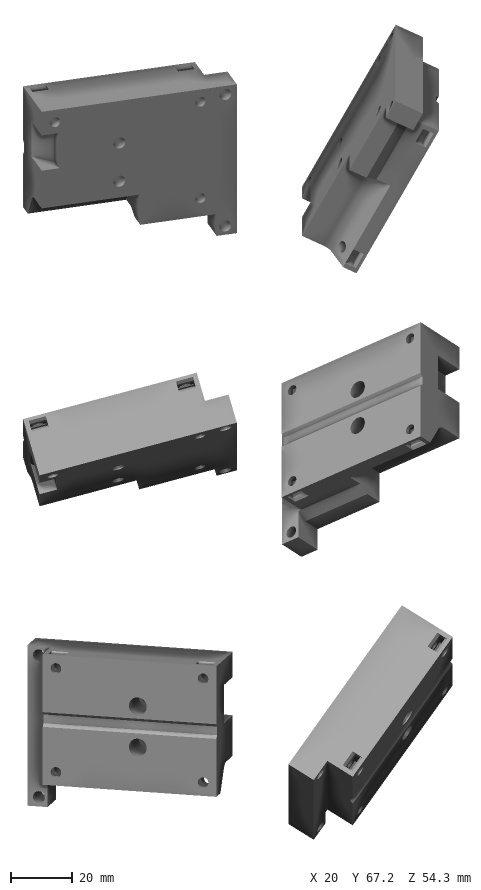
import cadquery as cq
import math

thickness = 20.0
length = 67.15
height = 54.3

block_length = 59.1
block_height = 44.2
flange_thickness = 10.0
leg_width = 6.9
block_bottom = height - block_height
block_middle = height - block_height / 2
flange_face = thickness - flange_thickness
leg_start = length - leg_width

rib_start = 33.9
rib_drop = 2.15
rib_slope = 30

relief_rise = 8.9
relief_foot = 5.0
relief_slope = 60
relief_radius = 3.35

groove_depth = 1.0
groove_mouth = 5.0

slot_height = 12.9
slot_top_gap = 8.6
slot_depth = 6.0
slot_mouth_start = 9.05

corner_hole_diameter = 3.55
corner_inset = 4.5
trap_length = 5.8
trap_thickness = 2.1
trap_mouth_thickness = 3.9
trap_middle = 3.0
trap_past_hole = trap_length / 2
step_depth = 0.4

bore_y = 26.7
bore_spacing = 14.0
bore_middle = 31.95
bore_diameter = 4
counterbore_diameter = 6.05
counterbore_depth = 12.0

flange_hole_diameter = 4
flange_hole_inset_y = 3.95
flange_hole_inset_z = 3.15


def box(x_range, y_range, z_range):
    """Box between the given limits along each axis."""
    corners = list(zip(x_range, y_range, z_range))
    sizes = [high - low for low, high in zip(*corners)]
    return cq.Workplane("XY").box(*sizes, centered=False).translate(corners[0])


def extrude_along_y(outline, y_start, y_end):
    """Extrude an XZ outline from y_start to y_end."""
    return (
        cq.Workplane("XZ", origin=(0, y_start, 0))
        .polyline(outline)
        .close()
        .extrude(y_start - y_end)
    )


def hole_along_x(y, z, diameter, depth):
    """Round cutter entering from the left face."""
    return cq.Workplane("YZ").center(y, z).circle(diameter / 2).extrude(depth)


def make_body():
    block = box((0, thickness), (0, block_length), (block_bottom, height))
    flange = box((flange_face, thickness), (block_length, length), (block_bottom, height))
    leg = box((flange_face, thickness), (leg_start, length), (0, block_bottom))
    slope_end = flange_face + rib_drop / math.tan(math.radians(rib_slope))
    rib = extrude_along_y(
        [
            (flange_face, block_bottom),
            (slope_end, block_bottom - rib_drop),
            (thickness, block_bottom - rib_drop),
            (thickness, block_bottom),
        ],
        rib_start,
        leg_start,
    )
    return block.union(flange).union(leg).union(rib)


def make_relief():
    relief_top = block_bottom + relief_rise
    slope_end = relief_foot + relief_rise / math.tan(math.radians(relief_slope))
    prism = extrude_along_y(
        [
            (relief_foot, block_bottom),
            (slope_end, relief_top),
            (thickness, relief_top),
            (thickness, block_bottom),
        ],
        0,
        rib_start,
    )
    inner_edge = cq.NearestToPointSelector((slope_end, rib_start / 2, relief_top))
    return prism.edges(inner_edge).fillet(relief_radius)


def make_groove():
    half_mouth = groove_mouth / 2
    half_floor = half_mouth - groove_depth
    outline = [
        (0, block_middle - half_mouth),
        (groove_depth, block_middle - half_floor),
        (groove_depth, block_middle + half_floor),
        (0, block_middle + half_mouth),
    ]
    return extrude_along_y(outline, 0, block_length)


def make_ramped_slot():
    """Slot whose inner end is a 45 degree ramp."""
    slot_bottom = height - slot_top_gap - slot_height
    return (
        cq.Workplane("XY", origin=(0, 0, slot_bottom))
        .moveTo(slot_mouth_start, 0)
        .lineTo(slot_mouth_start + slot_depth, slot_depth)
        .lineTo(thickness, slot_depth)
        .lineTo(thickness, 0)
        .close()
        .extrude(slot_height)
    )


def make_trap_steps(y, z):
    """Two square-edged steps widening the hole into the left wall of the trap."""
    trap_start = trap_middle - trap_thickness / 2
    half_hole = corner_hole_diameter / 2
    z_range = (z - half_hole, z + half_hole)
    square = box(
        (trap_start - 2 * step_depth, trap_start),
        (y - half_hole, y + half_hole),
        z_range,
    )
    strip = box(
        (trap_start - step_depth, trap_start),
        (y - trap_length / 2, y + trap_length / 2),
        z_range,
    )
    return square.union(strip)


def make_nut_trap(y, z_face, z_hole):
    """Nut trap with a 45 degree lead-in, open at z_face and ending past the hole."""
    inward = math.copysign(1, z_hole - z_face)
    half_mouth = trap_mouth_thickness / 2
    half_trap = trap_thickness / 2
    z_throat = z_face + inward * (half_mouth - half_trap)
    z_end = z_hole + inward * trap_past_hole
    outline = [
        (trap_middle - half_mouth, z_face),
        (trap_middle - half_trap, z_throat),
        (trap_middle - half_trap, z_end),
        (trap_middle + half_trap, z_end),
        (trap_middle + half_trap, z_throat),
        (trap_middle + half_mouth, z_face),
    ]
    return extrude_along_y(outline, y - trap_length / 2, y + trap_length / 2)


result = make_body().cut(make_relief()).cut(make_groove()).cut(make_ramped_slot())

for y in (corner_inset, block_length - corner_inset):
    for z_face, z_hole in (
        (height, height - corner_inset),
        (block_bottom, block_bottom + corner_inset),
    ):
        result = result.cut(hole_along_x(y, z_hole, corner_hole_diameter, thickness))
        result = result.cut(make_nut_trap(y, z_face, z_hole))
        result = result.cut(make_trap_steps(y, z_hole))

for z in (bore_middle - bore_spacing / 2, bore_middle + bore_spacing / 2):
    result = result.cut(hole_along_x(bore_y, z, bore_diameter, thickness))
    result = result.cut(hole_along_x(bore_y, z, counterbore_diameter, counterbore_depth))

for z in (flange_hole_inset_z, height - flange_hole_inset_z):
    result = result.cut(hole_along_x(length - flange_hole_inset_y, z, flange_hole_diameter, thickness))